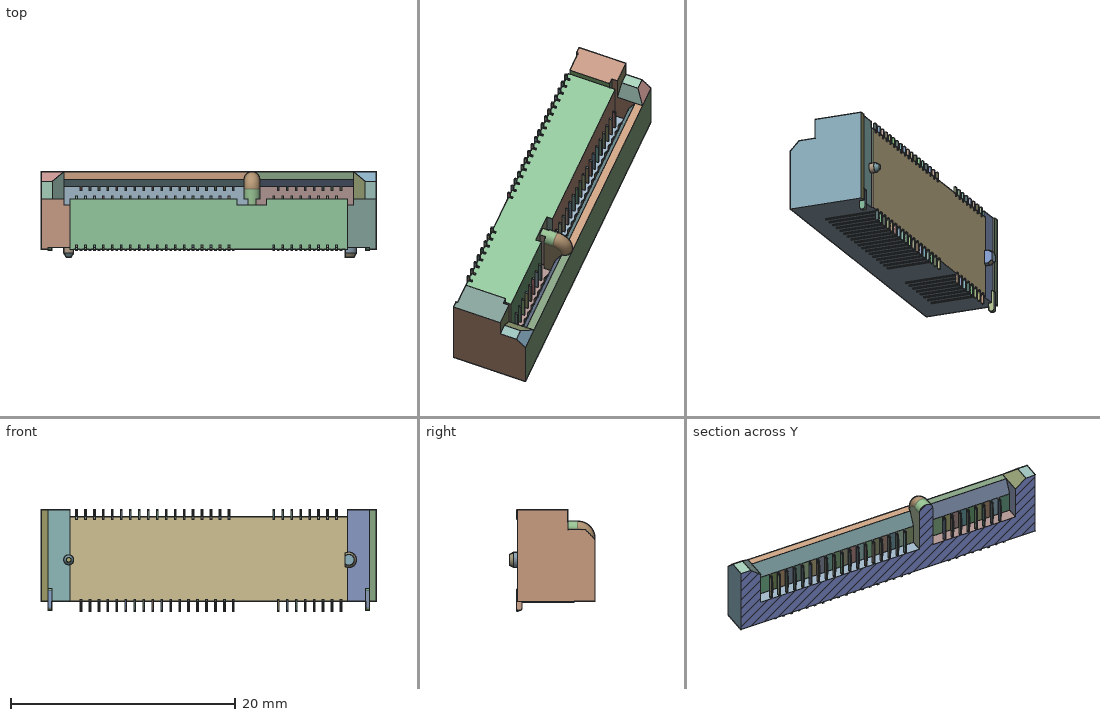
import cadquery as cq
import math


length = 29.9
depth = 6.95
height = 8.2
wing_back = 4.5
arm_height = 6.4
arm_chamfer = 0.87
lip_height = arm_height - arm_chamfer
centre_width = 24.75
centre_height = 7.55
seat_strip = 0.6
wing_relief = 0.15

slot_width = 25.83
slot_front = 3.98
slot_back = 5.6
slot_floor = 2.4
lead_in_width = 0.63
lead_in_drop = 1.3
arm_flare = 1.05

key_x = 3.85
key_width = 1.4
key_top = 7.18
key_nose_radius = 1.55
key_neck_width = 0.75
key_notch_width = 2.63

row_pitches = 29
row_length = 23.2
pitch = row_length / row_pitches
gap_first, gap_last = 18, 21
contact_width = 0.15
board_stand_off = 0.1
foot_back = 0.15
bend_back = 0.4
bend_thickness = 0.05
foot_edge = 0.075
upper_foot_length = 0.9
lower_foot_drop = 0.9
lower_foot_top = 0.18
lower_tail_back = 5.05
lower_tail_drop = 0.1
upper_blade_reach = 0.27
lower_blade_reach = 0.35
upper_blade_top = 4.78
lower_blade_slope = 0.72

leg_width = 0.35
leg_x = length / 2 - seat_strip - leg_width / 2
leg_back = 0.42
leg_top = 1.17
leg_drop = 0.8
leg_round = 0.2

peg_x = 12.5
peg_z = 3.7
peg_length = 0.72
peg_chamfer_length = 0.4
round_peg_radius = 0.45
round_peg_chamfer = 0.25
flat_peg_radius = 0.7
flat_peg_chamfer = 0.2
flat_peg_inner = 0.33


def block(x_range, y_range, z_range):
    """Box between the given limits."""
    (x0, x1), (y0, y1), (z0, z1) = x_range, y_range, z_range
    return cq.Workplane("XY").box(x1 - x0, y1 - y0, z1 - z0, centered=False).translate((x0, y0, z0))


def side_profile(points, x_centre, width):
    """Extrude a closed (Y, Z) outline along X, centred on x_centre."""
    outline = cq.Workplane("YZ").polyline(points).close()
    return outline.extrude(width / 2, both=True).translate((x_centre, 0, 0))


def make_housing():
    profile = [
        (0, 0),
        (depth, 0),
        (depth, lip_height),
        (depth - arm_chamfer, arm_height),
        (wing_back, arm_height),
        (wing_back, height),
        (0, height),
    ]
    housing = side_profile(profile, 0, length)

    half_centre = centre_width / 2
    half_slot = slot_width / 2
    centre = (-half_centre, half_centre)
    housing = housing.cut(block(centre, (0, wing_back), (centre_height, height)))

    for x_range in [(half_centre, length / 2 - seat_strip), (seat_strip - length / 2, -half_centre)]:
        housing = housing.cut(block(x_range, (0, wing_relief), (0, height)))

    flare = (
        cq.Workplane("XZ")
        .polyline([
            (-half_slot - arm_flare, arm_height),
            (-half_slot, lip_height),
            (half_slot, lip_height),
            (half_slot + arm_flare, arm_height),
        ])
        .close()
        .extrude(wing_back - depth)
        .translate((0, wing_back, 0))
    )
    housing = housing.cut(flare)

    slot = block((-half_slot, half_slot), (slot_front, slot_back), (slot_floor, height))
    tongue = block(centre, (slot_front, wing_back), (slot_floor, centre_height))
    half_notch = key_notch_width / 2
    notch = block((key_x - half_notch, key_x + half_notch), (slot_front, wing_back), (slot_floor, height))
    housing = housing.cut(slot.cut(tongue.cut(notch)))

    lead_in = side_profile(
        [
            (slot_back, lip_height - lead_in_drop),
            (slot_back + lead_in_width, lip_height),
            (slot_back, lip_height),
        ],
        0,
        slot_width,
    )
    return housing.cut(lead_in)


def key_section(width):
    """Round-topped key section in XZ, clipped to the given width."""
    radius = key_width / 2
    crown = key_top - radius
    half = width / 2
    shoulder = crown + math.sqrt(radius**2 - half**2)
    return (
        cq.Workplane("XZ")
        .moveTo(key_x - half, slot_floor)
        .lineTo(key_x - half, shoulder)
        .threePointArc((key_x, key_top), (key_x + half, shoulder))
        .lineTo(key_x + half, slot_floor)
        .close()
    )


def make_key():
    nose_start = depth - key_nose_radius
    nose_axis = key_top - key_nose_radius
    neck = key_section(key_neck_width).extrude(slot_front - wing_back).translate((0, slot_front, 0))
    bar = key_section(key_width).extrude(wing_back - nose_start).translate((0, wing_back, 0))

    half = key_width / 2
    crown = key_nose_radius - half
    nose = (
        cq.Workplane("XZ")
        .moveTo(-half, 0)
        .lineTo(-half, crown)
        .threePointArc((0, key_nose_radius), (half, crown))
        .lineTo(half, 0)
        .close()
        .revolve(90, (0, 0), (-1, 0))
        .translate((key_x, nose_start, nose_axis))
    )
    base = (
        cq.Workplane("XY")
        .moveTo(key_x - half, nose_start)
        .lineTo(key_x - half, nose_start + crown)
        .threePointArc((key_x, depth), (key_x + half, nose_start + crown))
        .lineTo(key_x + half, nose_start)
        .close()
        .extrude(nose_axis - slot_floor)
        .translate((0, 0, slot_floor))
    )
    return neck.union(bar).union(nose).union(base)


def make_upper_contact(x):
    half = contact_width / 2
    x_range = (x - half, x + half)
    foot = block(x_range, (-board_stand_off, foot_back), (height - upper_foot_length, height))
    foot = foot.edges("|X and <Y").chamfer(foot_edge)
    bend = block(x_range, (0, bend_back), (centre_height, centre_height + bend_thickness))
    blade = block(x_range, (wing_back, wing_back + upper_blade_reach), (slot_floor, upper_blade_top))
    return [foot, bend, blade]


def make_lower_contact(x):
    half = contact_width / 2
    x_range = (x - half, x + half)
    foot = block(x_range, (-board_stand_off, foot_back), (-lower_foot_drop, lower_foot_top))
    foot = foot.edges("|X and (<Y or <Z)").chamfer(foot_edge)
    tail = block(x_range, (0, lower_tail_back), (-lower_tail_drop, 0))
    blade_top = lip_height - lead_in_drop
    blade = side_profile(
        [
            (slot_back, slot_floor),
            (slot_back, blade_top),
            (slot_back - lower_blade_reach, blade_top - lower_blade_slope),
            (slot_back - lower_blade_reach, slot_floor),
        ],
        x,
        contact_width,
    )
    return [foot, tail, blade]


def make_leg(x):
    half = leg_width / 2
    leg = block((x - half, x + half), (-board_stand_off, leg_back), (-leg_drop, leg_top))
    return leg.edges("|X and (<Y or <Z)").fillet(leg_round)


def make_peg(x, radius, chamfer):
    """Round peg pointing along -Y with a tapered tip, rooted in the wing."""
    shank = peg_length - peg_chamfer_length
    return (
        cq.Workplane("XY")
        .polyline([
            (0, wing_relief),
            (radius, wing_relief),
            (radius, -shank),
            (radius - chamfer, -peg_length),
            (0, -peg_length),
        ])
        .close()
        .revolve(360, (0, 0), (0, 1))
        .translate((x, 0, peg_z))
    )


def make_flat_peg():
    peg = make_peg(peg_x, flat_peg_radius, flat_peg_chamfer)
    keep = block(
        (peg_x - flat_peg_inner, peg_x + flat_peg_radius),
        (-peg_length, wing_relief),
        (peg_z - flat_peg_radius, peg_z + flat_peg_radius),
    )
    return peg.intersect(keep)


features = [make_key(), make_peg(-peg_x, round_peg_radius, round_peg_chamfer), make_flat_peg()]
features += [make_leg(-leg_x), make_leg(leg_x)]

upper_start = -(row_length + pitch / 2) / 2
lower_start = upper_start + pitch / 2
for position in range(row_pitches + 1):
    if gap_first <= position <= gap_last:
        continue
    features += make_upper_contact(upper_start + position * pitch)
    features += make_lower_contact(lower_start + position * pitch)

solids = [feature.val() for feature in features]
result = cq.Workplane(make_housing().val().fuse(*solids))